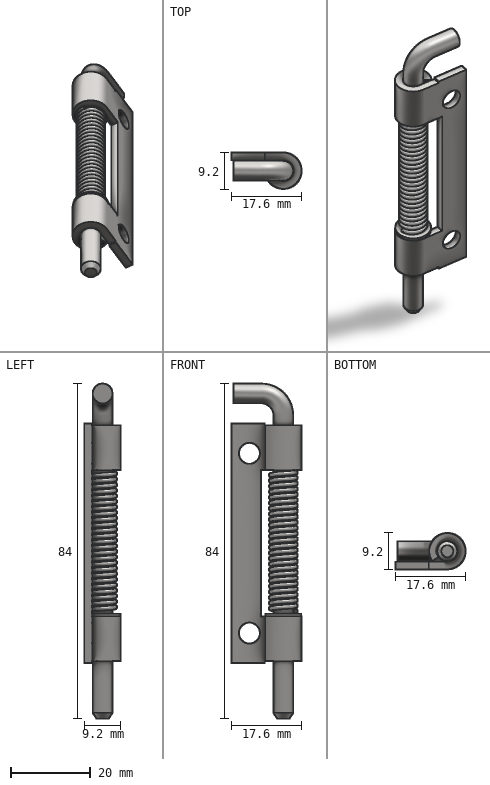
import cadquery as cq
import math


bolt_diameter = 5.0
bolt_radius = bolt_diameter / 2
overall_height = 84.0
handle_axis_z = overall_height - bolt_radius
bend_radius = 5.5
handle_reach = 12.5
tip_taper_height = 1.5
tip_taper_inset = 1.0

sheet_thickness = 2.0
bore_radius = 2.6
knuckle_radius = bore_radius + sheet_thickness
plate_left = -13.0
plate_length = 60.0
plate_bottom = 14.0
plate_middle = plate_bottom + plate_length / 2
notch_left = -5.6
notch_height = 36.6
notch_bottom = plate_middle - notch_height / 2
notch_top = plate_middle + notch_height / 2
knuckle_inset = 0.45
roll_gap = 0.05
screw_hole_diameter = 5.2
screw_hole_edge_distance = 4.5
screw_hole_x = plate_left + screw_hole_edge_distance
screw_hole_spacing = 45.0

washer_thickness = 0.7
washer_radius = 4.5
washer_top = notch_bottom + washer_thickness

wire_radius = 0.55
spring_turns = 25
spring_clearance = 0.05
coil_radius = bolt_radius + spring_clearance + wire_radius
spring_height = notch_top - washer_top - 2 * wire_radius
spring_pitch = spring_height / spring_turns


def ring(outer_radius, bottom, height):
    """Upright ring around the bolt with the common bore."""
    return (
        cq.Workplane("XY", origin=(0, 0, bottom))
        .circle(outer_radius)
        .circle(bore_radius)
        .extrude(height)
    )


def make_knuckle(bottom, height):
    """Rolled eye: a tangent strip of sheet curled round to a radial end just short of itself."""
    roll_end_y = bore_radius - roll_gap
    roll_end_x = -math.sqrt(knuckle_radius**2 - roll_end_y**2)
    opening = (
        cq.Workplane("XY", origin=(0, 0, bottom))
        .lineTo(roll_end_x, roll_end_y)
        .lineTo(roll_end_x, bore_radius)
        .lineTo(0, bore_radius)
        .close()
        .extrude(height)
    )
    curl = ring(knuckle_radius, bottom, height).cut(opening)
    strip = cq.Workplane("XY").box(
        knuckle_radius, sheet_thickness, height, centered=False
    )
    strip = strip.translate((-knuckle_radius, bore_radius, bottom))
    return curl.union(strip)


def make_bracket():
    """Screw plate with two knuckles beside a notch for the spring."""
    plate = cq.Workplane("XY").box(
        -knuckle_radius - plate_left, sheet_thickness, plate_length, centered=False
    )
    plate = plate.translate((plate_left, bore_radius, plate_bottom))

    notch = cq.Workplane("XY").box(
        -notch_left, sheet_thickness, notch_height, centered=False
    )
    plate = plate.cut(notch.translate((notch_left, bore_radius, notch_bottom)))

    for side in (-1, 1):
        hole_z = plate_middle + side * screw_hole_spacing / 2
        hole = (
            cq.Workplane("XZ", origin=(screw_hole_x, bore_radius, hole_z))
            .circle(screw_hole_diameter / 2)
            .extrude(-sheet_thickness)
        )
        plate = plate.cut(hole)

    knuckle_height = notch_bottom - plate_bottom - knuckle_inset
    for bottom in (plate_bottom + knuckle_inset, notch_top):
        plate = plate.union(make_knuckle(bottom, knuckle_height))
    return plate


def make_bolt():
    """Round bar with a quarter-turn handle at the top and a tapered tip."""
    path = (
        cq.Workplane("XZ")
        .lineTo(0, handle_axis_z - bend_radius)
        .tangentArcPoint((-bend_radius, bend_radius))
        .lineTo(-handle_reach, handle_axis_z)
    )
    bar = cq.Workplane("XY").circle(bolt_radius).sweep(path)
    return bar.faces("<Z").chamfer(tip_taper_height, tip_taper_inset)


def make_spring():
    """Right-handed coil whose ends touch the washer and the upper knuckle."""
    helix = cq.Wire.makeHelix(spring_pitch, spring_height, coil_radius)
    coil = (
        cq.Workplane("XZ")
        .center(coil_radius, 0)
        .circle(wire_radius)
        .sweep(cq.Workplane(obj=helix), isFrenet=True)
    )
    return coil.translate((0, 0, washer_top + wire_radius))


bracket = make_bracket()
bolt = make_bolt()
washer = ring(washer_radius, notch_bottom, washer_thickness)
spring = make_spring()

result = cq.Compound.makeCompound(
    [body.solids().val() for body in (bracket, bolt, washer, spring)]
)